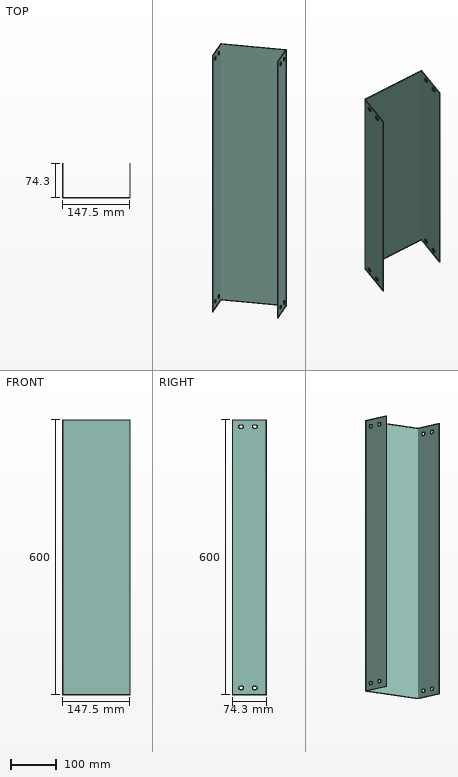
import cadquery as cq

width = 147.5
depth = 74.35
length = 600.0

sheet = 0.8
inner_bend_radius = 0.2
outer_bend_radius = inner_bend_radius + sheet

slot_length = 10.2
slot_height = 7.2
slot_spacing = 30.0
slot_from_free_edge = 25.2
slot_from_end = 15.0


def make_channel():
    """U-shaped channel: front web on the -Y side, flanges running toward +Y."""
    outer = (
        cq.Workplane("XY")
        .box(width, depth, length)
        .edges("|Z and <Y")
        .fillet(outer_bend_radius)
    )
    cavity = (
        cq.Workplane("XY")
        .box(width - 2 * sheet, depth, length)
        .edges("|Z and <Y")
        .fillet(inner_bend_radius)
        .translate((0, sheet, 0))
    )
    return outer.cut(cavity)


def make_slot_cutters():
    """Slots near both ends, running across the full width through both flanges."""
    rear_y = depth / 2 - slot_from_free_edge
    upper_z = length / 2 - slot_from_end
    centres = [
        (y, z)
        for y in (rear_y, rear_y - slot_spacing)
        for z in (-upper_z, upper_z)
    ]
    return (
        cq.Workplane("YZ")
        .pushPoints(centres)
        .slot2D(slot_length, slot_height)
        .extrude(width / 2, both=True)
    )


result = make_channel().cut(make_slot_cutters())